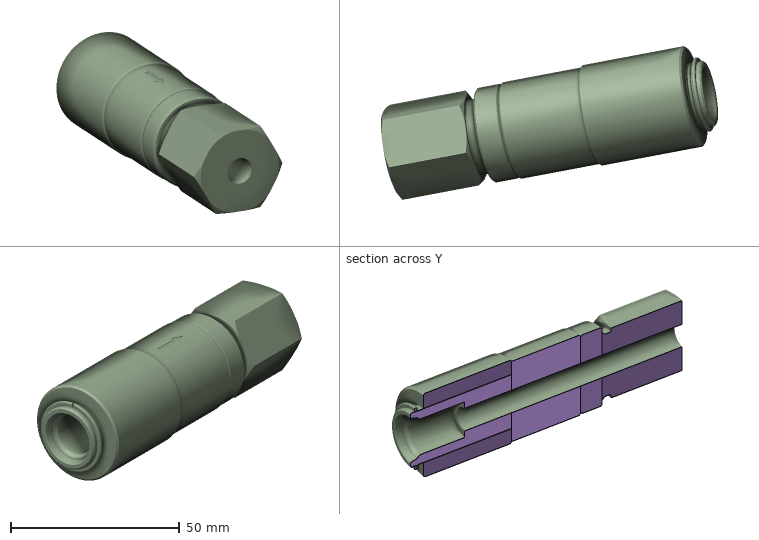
import cadquery as cq
import math

TOTAL_LENGTH = 97.8
FLOW_HOLE_DIA = 8.0

NIPPLE_DIA = 19.9
NIPPLE_CHAMFER_LENGTH = 0.5
NIPPLE_CHAMFER_HEIGHT = 0.5
MOUTH_DIA = 16.5
MOUTH_CHAMFER_LENGTH = 0.3
SOCKET_OUTER_DIA = 15.8
SOCKET_INNER_DIA = 14.7
SOCKET_DEPTH = 2.5
SEAT_DIA = 14.4
SEAT_LENGTH = 1.2
NIPPLE_BORE_DIA = 12.7
NIPPLE_BORE_DEPTH = 19.6

THREAD_PITCH = 1.0
THREAD_FIRST_GROOVE = 3.3
THREAD_GROOVE_COUNT = 2
THREAD_GROOVE_WIDTH = 0.5
THREAD_GROOVE_DEPTH = 0.4

RING_DIA = 22.4
RING_START = 1.6
RING_WIDTH = 1.0
RING_CHAMFER = 0.24
RING_GAP = 0.6
RING_GAP_Y = -0.8

SLEEVE_DIA = 30.4
SLEEVE_START = 4.7
SLEEVE_END = 36.6
SLEEVE_CHAMFER = 0.6

BODY_DIA = 29.2
BODY_END = 61.3
BODY_CHAMFER = 0.6

COLLAR_DIA = 28.7
COLLAR_END = 69.0
COLLAR_CHAMFER = 0.6

NECK_DIA = 22.8
NECK_ROOT_CONE = 0.9

HEX_SIDES = 6
HEX_FLATS = 25.4
HEX_START = 72.2
HEX_FACE_DIA = 25.8
HEX_CHAMFER_ANGLE = 30.0

ARROW_TAIL_X = 41.5
ARROW_BASE_X = 49.3
ARROW_TIP_X = 53.2
ARROW_Y = -3.1
ARROW_TAIL_WIDTH = 1.4
ARROW_HEAD_WIDTH = 3.0
ARROW_DEPTH = 0.2


def revolved(profile):
    """Solid turned about the X axis from a closed profile of (x, radius) points."""
    return cq.Workplane("XY").polyline(profile).close().revolve(360, (0, 0, 0), (1, 0, 0))


def rod(start, end, dia):
    """Plain cylinder along X between two X positions."""
    return cq.Workplane("YZ").workplane(offset=start).circle(dia / 2).extrude(end - start)


def chamfered_rod(start, end, dia, chamfer):
    """Cylinder along X with both end rims chamfered equally."""
    return rod(start, end, dia).faces("<X or >X").chamfer(chamfer)


def thread_groove(centre):
    """Ring-shaped V cutter for one thread groove of the nipple."""
    crest = NIPPLE_DIA / 2
    half_width = THREAD_GROOVE_WIDTH / 2
    return revolved([
        (centre - half_width, crest),
        (centre, crest - THREAD_GROOVE_DEPTH),
        (centre + half_width, crest),
    ])


def make_nipple():
    """Threaded inlet tube with a stepped socket, held in the sleeve."""
    outer = NIPPLE_DIA / 2
    nipple = revolved([
        (0, MOUTH_DIA / 2),
        (0, outer - NIPPLE_CHAMFER_HEIGHT),
        (NIPPLE_CHAMFER_LENGTH, outer),
        (SLEEVE_END, outer),
        (SLEEVE_END, FLOW_HOLE_DIA / 2),
        (NIPPLE_BORE_DEPTH, FLOW_HOLE_DIA / 2),
        (NIPPLE_BORE_DEPTH, NIPPLE_BORE_DIA / 2),
        (SOCKET_DEPTH + SEAT_LENGTH, NIPPLE_BORE_DIA / 2),
        (SOCKET_DEPTH, SEAT_DIA / 2),
        (SOCKET_DEPTH, SOCKET_INNER_DIA / 2),
        (MOUTH_CHAMFER_LENGTH, SOCKET_OUTER_DIA / 2),
    ])
    for index in range(THREAD_GROOVE_COUNT):
        nipple = nipple.cut(thread_groove(THREAD_FIRST_GROOVE + index * THREAD_PITCH))
    return nipple


def make_retaining_ring():
    """Split ring around the nipple, with its narrow gap at the top."""
    ring_end = RING_START + RING_WIDTH
    ring = chamfered_rod(RING_START, ring_end, RING_DIA, RING_CHAMFER)
    ring = ring.cut(rod(RING_START, ring_end, NIPPLE_DIA))
    gap = cq.Workplane("XY").box(RING_WIDTH, RING_GAP, RING_DIA / 2, centered=(False, True, False))
    return ring.cut(gap.translate((RING_START, RING_GAP_Y, 0)))


def make_sleeve():
    """Large outer sleeve bored to take the nipple."""
    sleeve = chamfered_rod(SLEEVE_START, SLEEVE_END, SLEEVE_DIA, SLEEVE_CHAMFER)
    return sleeve.cut(rod(SLEEVE_START, SLEEVE_END, NIPPLE_DIA))


def arrow_cutter():
    """Flow arrow, curved with the body so that it cuts to an even depth."""
    half_tail = ARROW_TAIL_WIDTH / 2
    half_head = ARROW_HEAD_WIDTH / 2
    outline = [
        (ARROW_TAIL_X, ARROW_Y - half_tail),
        (ARROW_BASE_X, ARROW_Y - half_tail),
        (ARROW_BASE_X, ARROW_Y - half_head),
        (ARROW_TIP_X, ARROW_Y),
        (ARROW_BASE_X, ARROW_Y + half_head),
        (ARROW_BASE_X, ARROW_Y + half_tail),
        (ARROW_TAIL_X, ARROW_Y + half_tail),
    ]
    arrow = cq.Workplane("XY").polyline(outline).close().extrude(BODY_DIA)
    return arrow.cut(rod(SLEEVE_END, BODY_END, BODY_DIA - 2 * ARROW_DEPTH))


def make_body():
    """Middle body with the engraved flow arrow."""
    body = rod(SLEEVE_END, BODY_END, BODY_DIA).faces(">X").chamfer(BODY_CHAMFER)
    body = body.cut(rod(SLEEVE_END, BODY_END, FLOW_HOLE_DIA))
    return body.cut(arrow_cutter())


def make_collar():
    """Short collar between the body and the hexagonal end."""
    collar = chamfered_rod(BODY_END, COLLAR_END, COLLAR_DIA, COLLAR_CHAMFER)
    return collar.cut(rod(BODY_END, COLLAR_END, FLOW_HOLE_DIA))


def make_hex_end():
    """Hexagonal outlet with chamfered corners and a round neck flared at its root."""
    corner_radius = HEX_FLATS / 2 / math.cos(math.pi / HEX_SIDES)
    face_radius = HEX_FACE_DIA / 2
    chamfer_length = (corner_radius - face_radius) * math.tan(math.radians(HEX_CHAMFER_ANGLE))
    hexagon = (
        cq.Workplane("YZ").workplane(offset=HEX_START)
        .polygon(HEX_SIDES, 2 * corner_radius).extrude(TOTAL_LENGTH - HEX_START)
    )
    corner_limit = revolved([
        (HEX_START, 0),
        (HEX_START, face_radius),
        (HEX_START + chamfer_length, corner_radius),
        (TOTAL_LENGTH - chamfer_length, corner_radius),
        (TOTAL_LENGTH, face_radius),
        (TOTAL_LENGTH, 0),
    ])
    neck_radius = NECK_DIA / 2
    neck = revolved([
        (COLLAR_END, 0),
        (COLLAR_END, neck_radius + NECK_ROOT_CONE),
        (COLLAR_END + NECK_ROOT_CONE, neck_radius),
        (HEX_START, neck_radius),
        (HEX_START, 0),
    ])
    hex_end = hexagon.intersect(corner_limit).union(neck)
    return hex_end.cut(rod(COLLAR_END, TOTAL_LENGTH, FLOW_HOLE_DIA))


nipple = make_nipple()
retaining_ring = make_retaining_ring()
sleeve = make_sleeve()
body = make_body()
collar = make_collar()
hex_end = make_hex_end()

result = cq.Compound.makeCompound([
    nipple.val(),
    retaining_ring.val(),
    sleeve.val(),
    body.val(),
    collar.val(),
    hex_end.val(),
])